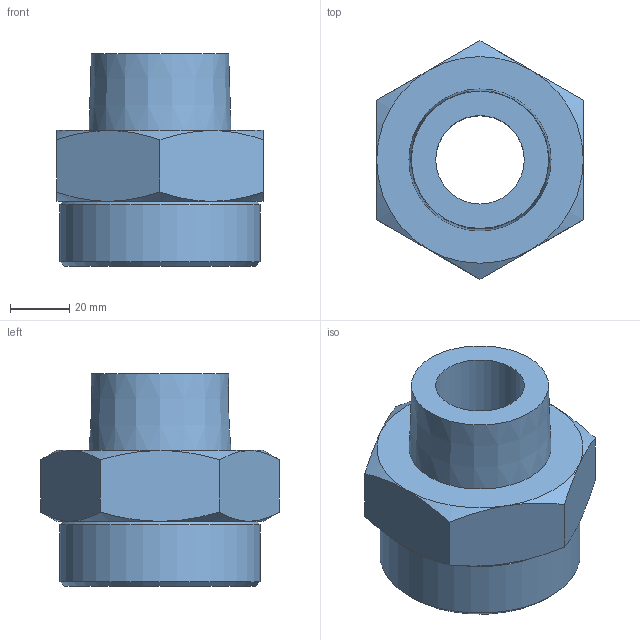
import cadquery as cq
import math

body_diameter = 67.8
body_height = 22.0
body_bottom_chamfer = 1.5
body_top_chamfer = 1.2

hex_across_flats = 70.0
hex_height = 24.0
hex_chamfer_angle = 30.0

spigot_height = 26.0
spigot_tip_diameter = 46.5
spigot_taper = 1.0 / 16.0

bore_diameter = 30.0

hex_half_sector = 30.0
hex_across_corners = hex_across_flats / math.cos(math.radians(hex_half_sector))
hex_top = body_height + hex_height
total_height = hex_top + spigot_height


def revolve_profile(points):
    """Revolve a closed (radius, height) profile about the Z axis."""
    return cq.Workplane("XZ").polyline(points).close().revolve(360, (0, 0), (0, 1))


def make_body():
    """Straight cylinder from the bottom face to the hexagon, chamfered at both ends."""
    cylinder = cq.Workplane("XY").circle(body_diameter / 2).extrude(body_height)
    cylinder = cylinder.faces("<Z").chamfer(body_bottom_chamfer)
    return cylinder.faces(">Z").chamfer(body_top_chamfer)


def make_hexagon():
    """Hexagon with flats facing +X and -X, its corners turned to a cone at both ends."""
    prism = (
        cq.Workplane("XY", origin=(0, 0, body_height))
        .transformed(rotate=(0, 0, 90))
        .polygon(6, hex_across_corners)
        .extrude(hex_height)
    )
    end_radius = hex_across_flats / 2
    corner_radius = hex_across_corners / 2
    corner_drop = (corner_radius - end_radius) * math.tan(math.radians(hex_chamfer_angle))
    turned_envelope = revolve_profile([
        (0, body_height),
        (end_radius, body_height),
        (corner_radius, body_height + corner_drop),
        (corner_radius, hex_top - corner_drop),
        (end_radius, hex_top),
        (0, hex_top),
    ])
    return prism.intersect(turned_envelope)


def make_spigot():
    """Tapered spigot, widest where it meets the hexagon."""
    tip_radius = spigot_tip_diameter / 2
    base_radius = tip_radius + spigot_taper * spigot_height / 2
    return revolve_profile([
        (0, hex_top),
        (base_radius, hex_top),
        (tip_radius, total_height),
        (0, total_height),
    ])


def make_bore():
    """Straight bore through the full height."""
    return cq.Workplane("XY").circle(bore_diameter / 2).extrude(total_height)


result = make_body().union(make_hexagon()).union(make_spigot()).cut(make_bore())